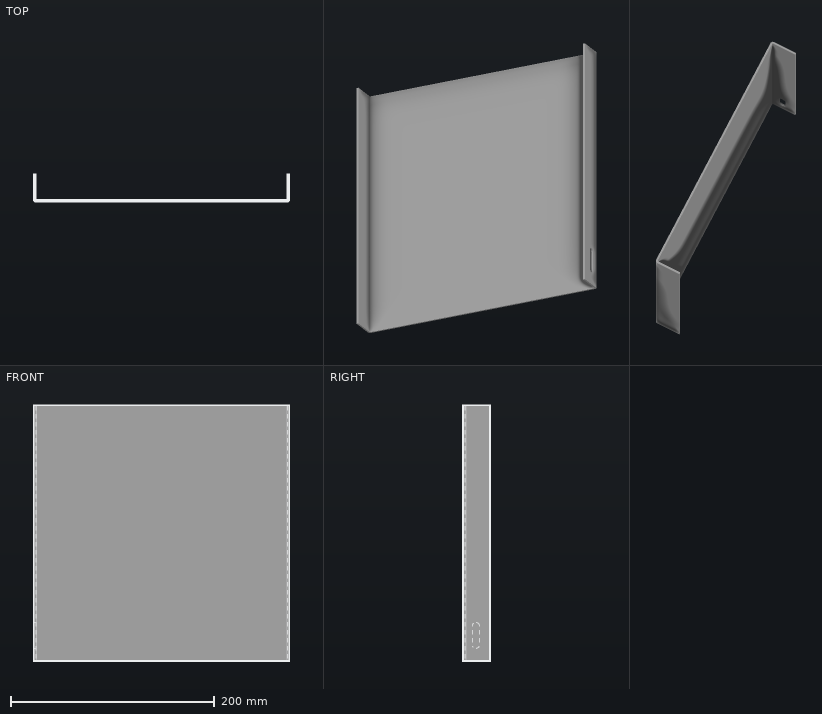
import cadquery as cq

panel_width = 251.46
panel_height = 251.46
flange_depth = 26.99

sheet_thickness = 1.9
inner_bend_radius = 0.84
outer_bend_radius = inner_bend_radius + sheet_thickness

slot_width = 7.14
slot_height = 25.4
slot_center_y = 12.7
slot_center_z = 25.4


def rounded_block(width, height, bend_radius):
    """Full-height block whose front face is at Y = 0, with both front vertical edges rounded."""
    return (
        cq.Workplane("XY")
        .box(width, flange_depth, height, centered=(True, False, False))
        .edges("|Z and <Y")
        .fillet(bend_radius)
    )


def folded_panel():
    """Flat web on the -Y side with a flange bent toward +Y along each vertical edge."""
    outer = rounded_block(panel_width, panel_height, outer_bend_radius)
    inner = rounded_block(panel_width - 2 * sheet_thickness, panel_height, inner_bend_radius)
    return outer.cut(inner.translate((0, sheet_thickness, 0)))


def flange_slot():
    """Upright slot with full-round ends, passing through the -X flange only."""
    cut_depth = 2 * sheet_thickness
    return (
        cq.Workplane("YZ")
        .center(slot_center_y, slot_center_z)
        .slot2D(slot_height, slot_width, angle=90)
        .extrude(cut_depth, both=True)
        .translate((-panel_width / 2, 0, 0))
    )


result = folded_panel().cut(flange_slot())